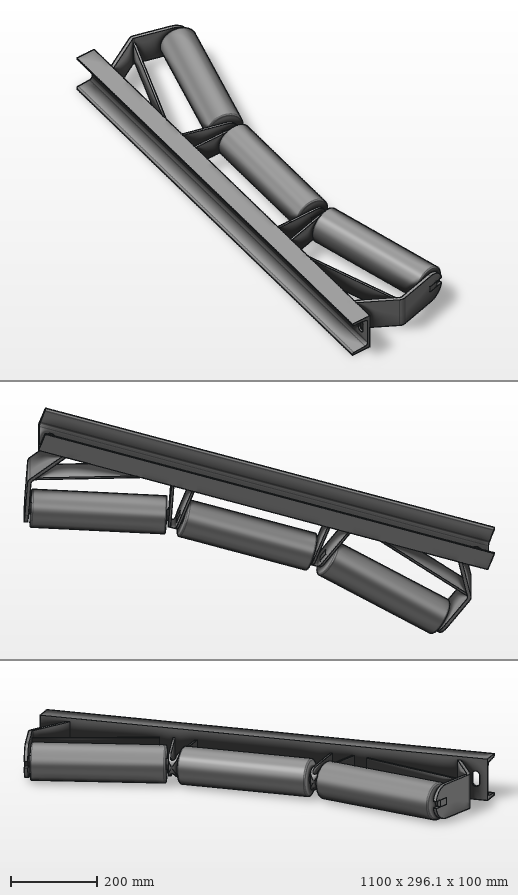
import cadquery as cq
import math

BEAM_LENGTH = 1100
BEAM_HEIGHT = 100.0
BEAM_DEPTH = 50.0
WEB_THICKNESS = 6.0
FLANGE_TIP_THICKNESS = 7.0
FLANGE_ROOT_THICKNESS = 10.0
ROOT_RADIUS = 8.0
TIP_RADIUS = 4.0

MOUNT_SLOT_LENGTH = 37.0
MOUNT_SLOT_WIDTH = 19.0
MOUNT_SLOT_INSET = 29.0

ROLLER_DIAMETER = 89.0
ROLLER_LENGTH = 315.0
ROLLER_RIM_RADIUS = 3.0
SHAFT_DIAMETER = 26.0
TANG_DEPTH = 24.0
TANG_THICKNESS = 16.0

TROUGH_ANGLE = 15
MIDDLE_ROLLER_Y = 118.0
SIDE_ROLLER_X = 349.0
SIDE_ROLLER_Y = 163.0

INNER_THICKNESS = 5.0
OUTER_THICKNESS = 8.2
OUTER_WIDTH = 82.0
INNER_WIDTH = 55.0
ROLLER_GAP = 6.0
ARCH_RADIUS = 11.5
KNEE_Y = 99.0
KNEE_RADIUS = 18.0
FOOT_ANGLE = 30
ARM_BEYOND_SHAFT = 31.0

BRACE_WIDTH = 51.0
BRACE_THICKNESS = 5.0
BRACE_LENGTH = 298.0
BRACE_ANGLE = 20
BRACE_END_X = 254.0
BRACE_END_Y = 4.0

PLATE_NEAR = ROLLER_LENGTH / 2 + ROLLER_GAP
INNER_FAR = PLATE_NEAR + INNER_THICKNESS
OUTER_FAR = PLATE_NEAR + OUTER_THICKNESS

TROUGH_SIN = math.sin(math.radians(TROUGH_ANGLE))
TROUGH_COS = math.cos(math.radians(TROUGH_ANGLE))
FOOT_SIN = math.sin(math.radians(FOOT_ANGLE))
FOOT_COS = math.cos(math.radians(FOOT_ANGLE))

STATIONS = [
    (-SIDE_ROLLER_X, SIDE_ROLLER_Y, -TROUGH_ANGLE),
    (0, MIDDLE_ROLLER_Y, 0),
    (SIDE_ROLLER_X, SIDE_ROLLER_Y, TROUGH_ANGLE),
]


def at_station(shape, station):
    """Move a shape built along X at the origin to a roller station."""
    x, y, tilt = station
    return shape.rotate((0, 0, 0), (0, 0, 1), tilt).translate((x, y, 0))


def rod(diameter, length):
    """Cylinder along X, centred on the origin."""
    return cq.Workplane("YZ", origin=(-length / 2, 0, 0)).circle(diameter / 2).extrude(length)


def plate(outline, width):
    """Extrude an XY outline symmetrically about Z = 0."""
    return outline.close().extrude(width).translate((0, 0, -width / 2))


def beyond_round_end(end_y, width):
    """Cutter along X for the corners outside a plate's full-round end at the given Y."""
    radius = width / 2
    return (
        cq.Workplane("YZ", origin=(-ROLLER_LENGTH, 0, 0))
        .moveTo(end_y - radius, -radius)
        .threePointArc((end_y, 0), (end_y - radius, radius))
        .lineTo(end_y, radius)
        .lineTo(end_y, -radius)
        .close()
        .extrude(ROLLER_LENGTH)
    )


def mirrored(shape):
    """The shape together with its mirror image across X = 0."""
    return shape.union(shape.mirror("YZ"))


def make_beam():
    half_height = BEAM_HEIGHT / 2
    tip_z = half_height - FLANGE_TIP_THICKNESS
    root_z = half_height - FLANGE_ROOT_THICKNESS
    beam = (
        cq.Workplane("YZ", origin=(-BEAM_LENGTH / 2, 0, 0))
        .polyline([
            (0, -half_height),
            (0, half_height),
            (-BEAM_DEPTH, half_height),
            (-BEAM_DEPTH, tip_z),
            (-WEB_THICKNESS, root_z),
            (-WEB_THICKNESS, -root_z),
            (-BEAM_DEPTH, -tip_z),
            (-BEAM_DEPTH, -half_height),
        ])
        .close()
        .extrude(BEAM_LENGTH)
    )
    for y, z, radius in (
        (-WEB_THICKNESS, root_z, ROOT_RADIUS),
        (-BEAM_DEPTH, tip_z, TIP_RADIUS),
    ):
        for side in (-1, 1):
            beam = beam.edges(cq.selectors.NearestToPointSelector((0, y, side * z))).fillet(radius)
    slot_x = BEAM_LENGTH / 2 - MOUNT_SLOT_INSET
    slots = (
        cq.Workplane("XZ")
        .pushPoints([(-slot_x, 0), (slot_x, 0)])
        .slot2D(MOUNT_SLOT_LENGTH, MOUNT_SLOT_WIDTH, 90)
        .extrude(WEB_THICKNESS)
    )
    return beam.cut(slots)


def make_inner_bracket():
    """Left arched plate: a vertical leg and a tilted leg joined by a round bend."""
    leg_x = -PLATE_NEAR
    arch_x = leg_x - ARCH_RADIUS
    tilted_face = -SIDE_ROLLER_X * TROUGH_COS - SIDE_ROLLER_Y * TROUGH_SIN + PLATE_NEAR
    arch_y = (arch_x * TROUGH_COS - tilted_face - ARCH_RADIUS) / TROUGH_SIN

    def leg_shape(radius):
        """Solid standing under the arch of the given radius."""
        tangent = (arch_x - radius * TROUGH_COS, arch_y + radius * TROUGH_SIN)
        foot_x = tangent[0] - tangent[1] * TROUGH_SIN / TROUGH_COS
        return plate(
            cq.Workplane("XY")
            .moveTo(foot_x, 0)
            .lineTo(*tangent)
            .threePointArc((arch_x, arch_y + radius), (arch_x + radius, arch_y))
            .lineTo(arch_x + radius, 0),
            INNER_WIDTH,
        )

    bracket = leg_shape(ARCH_RADIUS).cut(leg_shape(ARCH_RADIUS - INNER_THICKNESS))
    return bracket.cut(beyond_round_end(arch_y + ARCH_RADIUS, INNER_WIDTH))


def make_outer_bracket():
    """Left bent plate: a foot leaning outward and an arm square to the shaft."""
    arm_face = -SIDE_ROLLER_X * TROUGH_COS - SIDE_ROLLER_Y * TROUGH_SIN - OUTER_FAR
    knee_x = (arm_face + KNEE_Y * TROUGH_SIN) / TROUGH_COS
    shaft_end_y = SIDE_ROLLER_Y + OUTER_FAR * TROUGH_SIN
    arm_length = (shaft_end_y - KNEE_Y) / TROUGH_COS + ARM_BEYOND_SHAFT
    foot_length = KNEE_Y / FOOT_COS
    half_bend = math.radians(TROUGH_ANGLE + FOOT_ANGLE) / 2
    miter = OUTER_THICKNESS * math.tan(half_bend)
    tip = (knee_x + arm_length * TROUGH_SIN, KNEE_Y + arm_length * TROUGH_COS)
    inner_tip = (tip[0] + OUTER_THICKNESS * TROUGH_COS, tip[1] - OUTER_THICKNESS * TROUGH_SIN)
    inner_arm = arm_length - miter
    inner_knee = (inner_tip[0] - inner_arm * TROUGH_SIN, inner_tip[1] - inner_arm * TROUGH_COS)
    foot_x = knee_x + foot_length * FOOT_SIN
    bracket = plate(
        cq.Workplane("XY")
        .moveTo(foot_x, 0)
        .lineTo(knee_x, KNEE_Y)
        .lineTo(*tip)
        .lineTo(*inner_tip)
        .lineTo(*inner_knee)
        .lineTo(foot_x + OUTER_THICKNESS / FOOT_COS, 0),
        OUTER_WIDTH,
    )
    for corner, radius in (
        ((knee_x, KNEE_Y, 0), KNEE_RADIUS),
        ((*inner_knee, 0), KNEE_RADIUS - OUTER_THICKNESS),
    ):
        bracket = bracket.edges(cq.selectors.NearestToPointSelector(corner)).fillet(radius)

    round_end = beyond_round_end(ARM_BEYOND_SHAFT, OUTER_WIDTH)
    slot = cq.Workplane("XY").box(
        ROLLER_LENGTH, 2 * ARM_BEYOND_SHAFT, TANG_THICKNESS, centered=(True, False, True)
    ).translate((-ROLLER_LENGTH / 2, 0, 0))
    return bracket.cut(at_station(round_end, STATIONS[0])).cut(at_station(slot, STATIONS[0]))


def make_brace():
    """Left sloping strip, its ends set into the outer bracket's knee and the beam's web."""
    strip = cq.Workplane("XY").box(
        BRACE_LENGTH, BRACE_THICKNESS, BRACE_WIDTH
    ).translate((-BRACE_LENGTH / 2, -BRACE_THICKNESS / 2, 0))
    return at_station(strip, (-BRACE_END_X, BRACE_END_Y, -BRACE_ANGLE))


def make_shaft(left_end, right_end):
    """Round shaft with a rectangular tang at each end that sits in the plates."""
    shaft = rod(SHAFT_DIAMETER, 2 * PLATE_NEAR)
    for start, end in ((-left_end, -PLATE_NEAR), (PLATE_NEAR, right_end)):
        tang = cq.Workplane("XY").box(end - start, TANG_DEPTH, TANG_THICKNESS)
        shaft = shaft.union(tang.translate(((start + end) / 2, 0, 0)))
    return shaft


def make_roller():
    roller = rod(ROLLER_DIAMETER, ROLLER_LENGTH).edges().fillet(ROLLER_RIM_RADIUS)
    return roller.cut(rod(SHAFT_DIAMETER, ROLLER_LENGTH))


shaft_ends = [(OUTER_FAR, INNER_FAR), (INNER_FAR, INNER_FAR), (INNER_FAR, OUTER_FAR)]
shafts = [at_station(make_shaft(*ends), station).val() for ends, station in zip(shaft_ends, STATIONS)]
rollers = [at_station(make_roller(), station).val() for station in STATIONS]

supports = make_inner_bracket().union(make_outer_bracket()).union(make_brace())
frame = make_beam().union(mirrored(supports))
for shaft in shafts:
    frame = frame.cut(cq.Workplane(shaft))

result = cq.Compound.makeCompound([frame.val(), *rollers, *shafts])